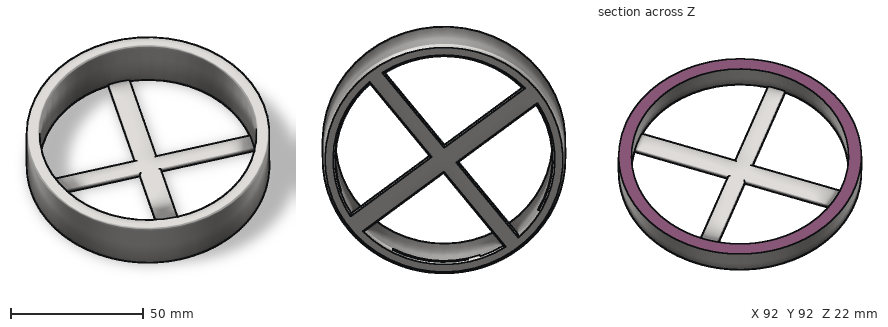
import cadquery as cq

outer_diameter = 92.0
bore_diameter = 82.0
ring_height = 22.0
ring_edge_radius = 1.0
ring_base_chamfer = 1.0

x_bar_width = 8.5
y_bar_width = 7.0
bar_thickness = 2.0
bar_edge_radius = 0.7
bar_base_chamfer = 0.5

bar_length = (outer_diameter + bore_diameter) / 2

SLAB_MARGIN = 0.01


def edges_at_height(height):
    """Selector for the edges that lie wholly at one height, anywhere across the part."""
    reach = outer_diameter
    return cq.selectors.BoxSelector(
        (-reach, -reach, height - SLAB_MARGIN),
        (reach, reach, height + SLAB_MARGIN),
        boundingbox=True,
    )


def make_ring():
    """Tube with rounded top edges and base chamfers that blend into the inner and outer walls."""
    ring = cq.Workplane("XY").circle(outer_diameter / 2).circle(bore_diameter / 2).extrude(ring_height)
    ring = ring.faces("<Z").edges().chamfer(ring_base_chamfer)
    ring = ring.edges(edges_at_height(ring_base_chamfer)).fillet(ring_edge_radius)
    return ring.faces(">Z").edges().fillet(ring_edge_radius)


def make_bar(width):
    """Bar along X with rounded top edges and base chamfers that blend into its sides."""
    bar = cq.Workplane("XY").box(bar_length, width, bar_thickness, centered=(True, True, False))
    bar = bar.faces("<Z").edges("|X").chamfer(bar_base_chamfer)
    bar = bar.edges(edges_at_height(bar_base_chamfer)).fillet(bar_edge_radius)
    return bar.faces(">Z").edges("|X").fillet(bar_edge_radius)


x_bar = make_bar(x_bar_width)
y_bar = make_bar(y_bar_width).rotate((0, 0, 0), (0, 0, 1), 90)

result = make_ring().union(x_bar).union(y_bar)